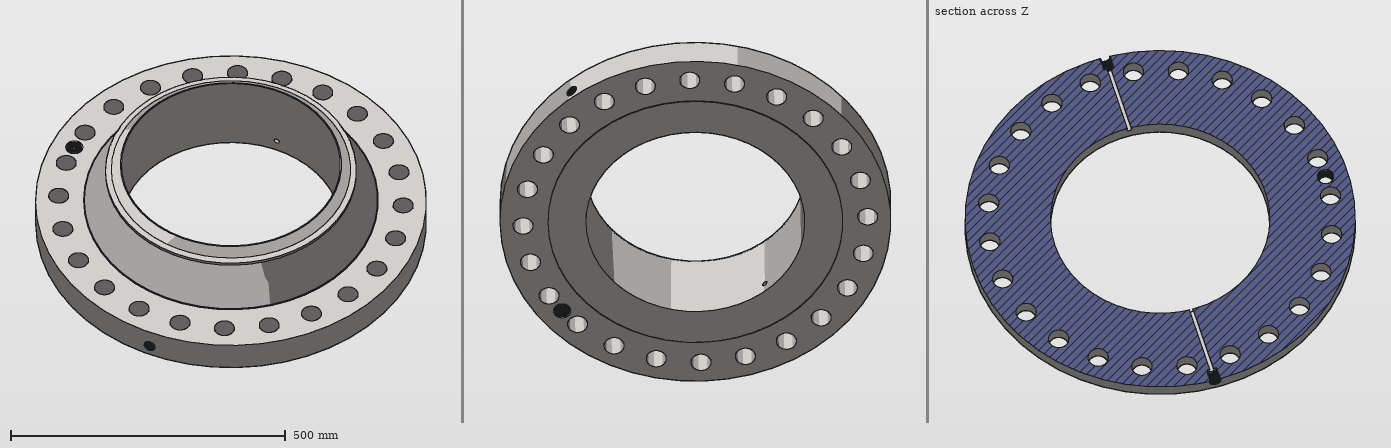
import cadquery as cq

total_height = 160.0
raised_face_height = 2.0
flange_top = 62.5
hub_ring_height = 1.5
hub_ring_top = flange_top + hub_ring_height
hub_cone_top = 139.5
lip_top = 145.0
bevel_bottom = 147.0

flange_radius = 355.5
bore_radius = 199.0
raised_face_radius = 268.0
hub_ring_radius = 268.0
hub_base_radius = 267.0
lip_radius = 228.0
bevel_outer_radius = 217.5
bevel_inner_radius = 201.0

bolt_count = 24
bolt_circle_radius = 313.5
bolt_hole_diameter = 36.0
bolt_pitch_angle = 360 / bolt_count

jack_minor_radius = 13.5
jack_major_radius = 16.0
jack_turns = 17

tap_height = 24.0
tap_bore_radius = 5.0
tap_mouth_radius = 11.0
tap_end_radius = 10.0
tap_thread_length = 25.0
tap_turns = 14
tap_thread_height = 1.5
tap_depth = flange_radius - bore_radius / 2


def turned_body():
    """Flange, raised face and weld neck as one revolved section."""
    return (
        cq.Workplane("XZ")
        .moveTo(bore_radius, 0)
        .lineTo(raised_face_radius, 0)
        .lineTo(raised_face_radius, raised_face_height)
        .lineTo(flange_radius, raised_face_height)
        .lineTo(flange_radius, flange_top)
        .lineTo(hub_ring_radius, flange_top)
        .lineTo(hub_ring_radius, hub_ring_top)
        .lineTo(hub_base_radius, hub_ring_top)
        .lineTo(lip_radius, hub_cone_top)
        .lineTo(lip_radius, lip_top)
        .lineTo(bevel_outer_radius, bevel_bottom)
        .lineTo(bevel_inner_radius, total_height)
        .lineTo(bore_radius, total_height)
        .close()
        .revolve(360, (0, 0, 0), (0, 1, 0))
    )


def thread_cutter(start_radius, end_radius, thread_height, turns, length):
    """Solid along +Z with ring-shaped thread ridges; its crest radius runs from start to end."""
    pitch = length / turns
    taper = (end_radius - start_radius) / length
    profile = cq.Workplane("XZ").lineTo(start_radius, 0)
    for turn in range(turns):
        root_z = (turn + 0.5) * pitch
        crest_z = (turn + 1) * pitch
        profile = profile.lineTo(start_radius + taper * root_z - thread_height, root_z)
        profile = profile.lineTo(start_radius + taper * crest_z, crest_z)
    return profile.lineTo(0, length).close().revolve(360, (0, 0, 0), (0, 1, 0))


def bolt_holes():
    return (
        cq.Workplane("XY")
        .polarArray(bolt_circle_radius, bolt_pitch_angle / 2, 360, bolt_count)
        .circle(bolt_hole_diameter / 2)
        .extrude(flange_top)
    )


def jack_screw_hole():
    thread_height = jack_major_radius - jack_minor_radius
    length = flange_top - raised_face_height
    cutter = thread_cutter(jack_major_radius, jack_major_radius, thread_height, jack_turns, length)
    return cutter.translate((-bolt_circle_radius, 0, raised_face_height))


def pressure_tap():
    """Tap on the -Y side: a tapered thread at the rim and a drilling into the bore."""
    thread = thread_cutter(
        tap_mouth_radius, tap_end_radius, tap_thread_height, tap_turns, tap_thread_length
    )
    drilling = cq.Workplane("XY").circle(tap_bore_radius).extrude(tap_depth)
    return (
        thread.union(drilling)
        .rotate((0, 0, 0), (1, 0, 0), -90)
        .translate((0, -flange_radius, tap_height))
    )


front_tap = pressure_tap()
back_tap = front_tap.rotate((0, 0, 0), (0, 0, 1), 180)
result = turned_body().cut(bolt_holes()).cut(jack_screw_hole()).cut(front_tap).cut(back_tap)